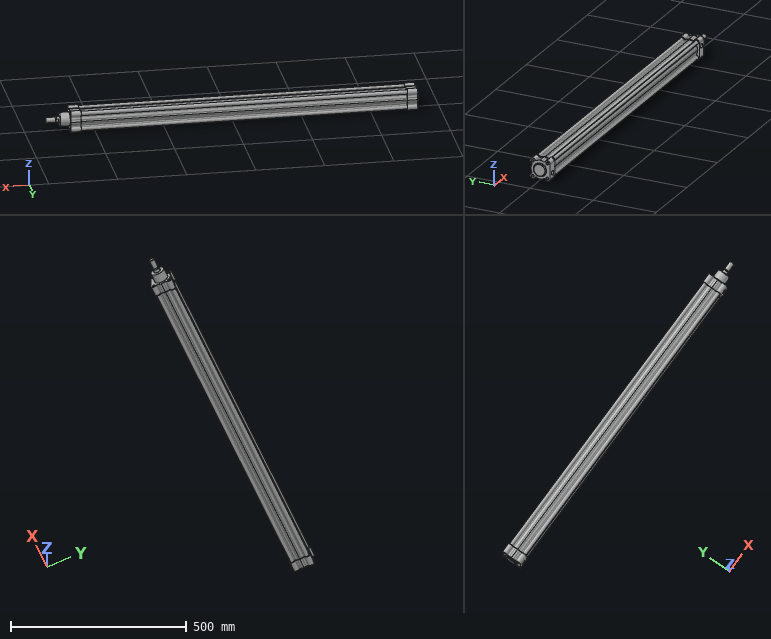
import cadquery as cq
import math


total_length = 1079.0
rear_cap_start = 4.0
cap_length = 30.0
rear_cap_end = rear_cap_start + cap_length
front_cap_start = 980.0
front_cap_end = front_cap_start + cap_length
boss_end = 1038.0
flats_start = 1042.0
rod_chamfer_start = 1048.0
thread_start = 1051.0

cap_width = 65.0
tie_rod_offset = 23.2
cap_lobe_radius = cap_width / 2 - tie_rod_offset
cap_core_radius = 29.0
cap_ridge_angle = 14.0
cap_fillet = 1.0
boss_radius = 20.0
rear_boss_chamfer = 2.7

screw_hole_radius = 3.8
screw_hole_depth = 9.0
port_radius = 6.0
port_depth = 11.0
port_offset = 9.0

barrel_width = 59.0
barrel_lobe_radius = barrel_width / 2 - tie_rod_offset
barrel_core_radius = 27.0
barrel_ridge_angle = 10.5
barrel_fillet = 2.7

rod_radius = 10.0
flat_distance = 9.0
thread_radius = 8.1
thread_chamfer = 1.0

tolerance = 0.01

corner_points = [(y * tie_rod_offset, z * tie_rod_offset) for y in (-1, 1) for z in (-1, 1)]


def section_at(x):
    """Workplane across the cylinder at x, with local axes along Y and Z."""
    return cq.Workplane("YZ", origin=(x, 0, 0))


def cylinder(start, end, radius):
    """Cylinder on the centreline from start to end."""
    return section_at(start).circle(radius).extrude(end - start)


def ridge(start, length, core_radius, angle):
    """Ridge on the top of a round core: two flanks tangent to the core, meeting at a crest."""
    slope = math.radians(angle)
    foot_y = core_radius * math.sin(slope)
    foot_z = core_radius * math.cos(slope)
    crest_z = core_radius / math.cos(slope)
    outline = [(0, 0), (foot_y, foot_z), (0, crest_z), (-foot_y, foot_z)]
    return section_at(start).polyline(outline).close().extrude(length)


def lobed_profile(start, length, core_radius, lobe_radius, fillet_radius, ridge_angle):
    """Round core with a filleted lobe around each tie rod axis and a ridge on each of the four sides."""

    def is_lobe_root(edge):
        """True for an edge on the core surface, away from the Y and Z axes."""
        middle = edge.Center()
        on_core = abs(math.hypot(middle.y, middle.z) - core_radius) < tolerance
        return on_core and min(abs(middle.y), abs(middle.z)) > tolerance

    body = section_at(start).circle(core_radius).extrude(length)
    body = body.union(section_at(start).pushPoints(corner_points).circle(lobe_radius).extrude(length))
    body = body.edges("|X").filter(is_lobe_root).fillet(fillet_radius)
    side_ridge = ridge(start, length, core_radius, ridge_angle)
    for turn in (0, 90, 180, 270):
        body = body.union(side_ridge.rotate((0, 0, 0), (1, 0, 0), turn))
    return body


def make_cap(start, port_z):
    """Lobed cap with a flat -Y face that carries a port."""
    cap = lobed_profile(
        start, cap_length, cap_core_radius, cap_lobe_radius, cap_fillet, cap_ridge_angle
    )
    flat_side = (
        section_at(start)
        .center(-(cap_width / 2 + tie_rod_offset) / 2, 0)
        .rect(cap_lobe_radius, 2 * tie_rod_offset)
        .extrude(cap_length)
    )
    port = (
        cq.Workplane("XZ", origin=(start + cap_length / 2, -cap_width / 2, port_z))
        .circle(port_radius)
        .extrude(-port_depth)
    )
    return cap.union(flat_side).cut(port)


def screw_holes(start, depth):
    """Blind holes on the tie rod axes; a negative depth runs toward -X."""
    return section_at(start).pushPoints(corner_points).circle(screw_hole_radius).extrude(depth)


def make_rear_cap():
    cap = make_cap(rear_cap_start, -port_offset)
    boss = cylinder(0, rear_cap_start, boss_radius).faces("<X").chamfer(rear_boss_chamfer)
    cap = cap.union(boss)
    return cap.cut(screw_holes(rear_cap_start, screw_hole_depth))


def make_front_cap():
    cap = make_cap(front_cap_start, port_offset)
    cap = cap.union(cylinder(front_cap_end, boss_end, boss_radius))
    return cap.cut(screw_holes(front_cap_end, -screw_hole_depth))


def make_barrel():
    length = front_cap_start - rear_cap_end
    return lobed_profile(
        rear_cap_end, length, barrel_core_radius, barrel_lobe_radius, barrel_fillet, barrel_ridge_angle
    )


def make_rod():
    """Rod end with two wrench flats facing -Y and +Y, tapering down to a chamfered thread."""
    shank_outline = [
        (boss_end, 0),
        (boss_end, rod_radius),
        (rod_chamfer_start, rod_radius),
        (thread_start, thread_radius),
        (thread_start, 0),
    ]
    shank = cq.Workplane("XZ").polyline(shank_outline).close().revolve(360, (0, 0), (1, 0))
    side_cut = rod_radius - flat_distance
    for side in (-1, 1):
        flat = (
            section_at(flats_start)
            .center(side * (flat_distance + side_cut / 2), 0)
            .rect(side_cut, 2 * rod_radius)
            .extrude(thread_start - flats_start)
        )
        shank = shank.cut(flat)
    thread = cylinder(thread_start, total_length, thread_radius).faces(">X").chamfer(thread_chamfer)
    return shank.union(thread)


rear_cap = make_rear_cap()
barrel = make_barrel()
front_cap = make_front_cap()
rod = make_rod()

result = cq.Compound.makeCompound([rear_cap.val(), barrel.val(), front_cap.val(), rod.val()])